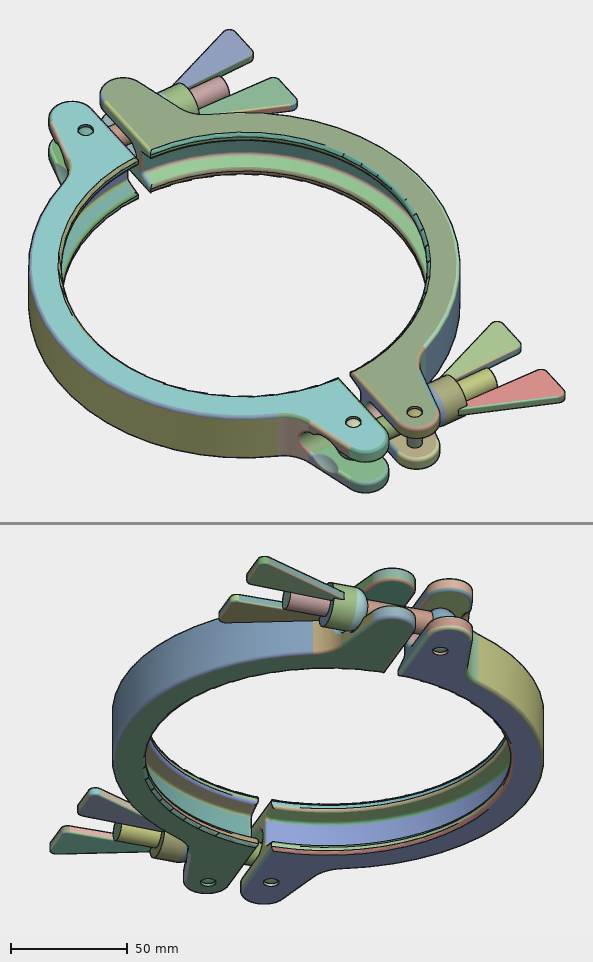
import cadquery as cq
import math

LENGTH = 263.8

HEIGHT = 25.3
RING_RADIUS = 185.0 / 2
BORE_RADIUS = 78.4
GAP = 6.0
GAP_FACE = GAP / 2
EDGE_FILLET = 1.45

GROOVE_RADIUS = 85.8
GROOVE_MOUTH = 8.5
GROOVE_TAPER = 15.0
GROOVE_FILLET = 1.3
GROOVE_OVERCUT = 2.6

EAR_RADIUS = 10.0
EAR_X = 115.0
EAR_Y = GAP_FACE + EAR_RADIUS
EAR_SLOPE = 15.0
BLEND_RADIUS = 16.0
SLOT_WIDTH = 12.1
SLOT_HALF = SLOT_WIDTH / 2
SLOT_END = 90.2

BOLT_X = 105.0
BOLT_RADIUS = 5.3
BOLT_TIP = 57.5
PIVOT_Y = -12.7
BALL_RADIUS = 15.0 / 2
NUT_RADIUS = 19.3 / 2
NUT_TOP = 39.3
NUT_SHOULDER = 28.8
NUT_ROUND = 6.9
SEAT_RADIUS = 10.3
SEAT_FILLET = 0.5

WING_TOP = 79.5
WING_THICKNESS = 4.0
WING_REACH = LENGTH / 2 - BOLT_X
WING_OUTER_ANGLE = 23.0
WING_INNER_TOP = 7.7
WING_INNER_BOTTOM = 6.5
WING_ROOT = 31.7
WING_CORNER = 3.2
WING_FILLET = 0.65

PIN_RADIUS = 6.5 / 2
PIN_DOME = 1.0
PIN_RECESS = 0.3
KEEPER_X = 114.2
KEEPER_Y = 12.7

TOLERANCE = 0.03


def half_outline():
    """Outline of the half on the +Y side, with both ears."""
    slope = math.radians(EAR_SLOPE)
    normal = (math.sin(slope), math.cos(slope))
    along = (math.cos(slope), -math.sin(slope))

    slope_offset = EAR_X * normal[0] + EAR_Y * normal[1] + EAR_RADIUS
    blend_offset = slope_offset + BLEND_RADIUS
    blend_along = math.sqrt((RING_RADIUS + BLEND_RADIUS) ** 2 - blend_offset**2)
    blend = [blend_offset * n + blend_along * a for n, a in zip(normal, along)]
    toward_ring = math.atan2(-blend[1], -blend[0])
    toward_ear = math.atan2(-normal[1], -normal[0])
    middle = (toward_ring + toward_ear) / 2

    def on_blend(angle):
        return (blend[0] + BLEND_RADIUS * math.cos(angle), blend[1] + BLEND_RADIUS * math.sin(angle))

    tip_end = (EAR_X + EAR_RADIUS * normal[0], EAR_Y + EAR_RADIUS * normal[1])
    blend_start = on_blend(toward_ear)
    blend_middle = on_blend(middle)
    blend_end = on_blend(toward_ring)
    tip = (EAR_X + EAR_RADIUS, EAR_Y)
    bore_corner = (math.sqrt(BORE_RADIUS**2 - GAP_FACE**2), GAP_FACE)

    def mirrored(point):
        return (-point[0], point[1])

    return (
        cq.Workplane("XY", origin=(0, 0, -HEIGHT / 2))
        .moveTo(*bore_corner)
        .lineTo(EAR_X, GAP_FACE)
        .threePointArc(tip, tip_end)
        .lineTo(*blend_start)
        .threePointArc(blend_middle, blend_end)
        .threePointArc((0, RING_RADIUS), mirrored(blend_end))
        .threePointArc(mirrored(blend_middle), mirrored(blend_start))
        .lineTo(*mirrored(tip_end))
        .threePointArc(mirrored(tip), (-EAR_X, GAP_FACE))
        .lineTo(*mirrored(bore_corner))
        .threePointArc((0, BORE_RADIUS), bore_corner)
        .close()
    )


def groove_cutter():
    """Ring that cuts the tapered groove into the bore."""
    start = BORE_RADIUS - GROOVE_OVERCUT
    drop = math.tan(math.radians(GROOVE_TAPER))
    mouth = GROOVE_MOUTH + drop * GROOVE_OVERCUT
    floor = GROOVE_MOUTH - drop * (GROOVE_RADIUS - BORE_RADIUS)
    return (
        cq.Workplane("XZ")
        .polyline([(start, -mouth), (GROOVE_RADIUS, -floor), (GROOVE_RADIUS, floor), (start, mouth)])
        .close()
        .revolve(360, (0, 0, 0), (0, 1, 0))
        .edges(cq.selectors.RadiusNthSelector(-1))
        .fillet(GROOVE_FILLET)
    )


def slot_cutter(side):
    """Slot through an ear along Y, round at its inner end and open at the tip."""
    round_x = side * (SLOT_END + SLOT_HALF)
    open_x = side * (EAR_X + 2 * EAR_RADIUS)
    return (
        cq.Workplane("XZ")
        .moveTo(open_x, -SLOT_HALF)
        .lineTo(round_x, -SLOT_HALF)
        .threePointArc((side * SLOT_END, 0), (round_x, SLOT_HALF))
        .lineTo(open_x, SLOT_HALF)
        .close()
        .extrude(-RING_RADIUS)
    )


def rounded_collar(side, radius):
    """Collar with a rounded end on the bolt axis: the body of a nut, or the room for its seat."""
    bottom = NUT_SHOULDER - NUT_ROUND
    round_x = radius - NUT_ROUND
    corner = NUT_ROUND * math.sqrt(0.5)
    return (
        cq.Workplane("XY", origin=(side * BOLT_X, 0, 0))
        .moveTo(0, bottom)
        .lineTo(round_x, bottom)
        .threePointArc((round_x + corner, NUT_SHOULDER - corner), (radius, NUT_SHOULDER))
        .lineTo(radius, NUT_TOP)
        .lineTo(0, NUT_TOP)
        .close()
        .revolve(360, (0, 0, 0), (0, 1, 0))
    )


def is_rounded(edge):
    """True for the edges of the gap faces, rims, lips and slot openings of a half."""
    box = edge.BoundingBox()
    straight_up = box.xlen < TOLERANCE and box.ylen < TOLERANCE
    along_slot = box.xlen < TOLERANCE and box.zlen < TOLERANCE
    groove_floor = box.xmin < 0 < box.xmax and abs(edge.Center().z) < GROOVE_MOUTH - TOLERANCE
    return not (straight_up or along_slot or groove_floor)


def clamp_half():
    """Half ring on the +Y side with its slots and nut seats."""
    half = half_outline().extrude(HEIGHT).cut(groove_cutter())
    for side in (-1, 1):
        half = half.cut(slot_cutter(side))
    half = half.edges().filter(is_rounded).fillet(EDGE_FILLET)
    for side in (-1, 1):
        half = half.cut(rounded_collar(side, SEAT_RADIUS))
    return half.faces("%REVOLUTION").edges().fillet(SEAT_FILLET)


def wing(side, hand):
    """One wing of a nut, toward -X or +X (hand) of the bolt axis."""
    lean = math.radians(WING_OUTER_ANGLE)
    run = math.tan(lean)
    corner_y = WING_TOP - WING_CORNER
    touch_x = WING_REACH - WING_CORNER * (1 - math.cos(lean))
    touch_y = corner_y - WING_CORNER * math.sin(lean)
    top_x = touch_x + run * (WING_TOP - touch_y)
    root_x = touch_x - run * (touch_y - WING_ROOT)
    axis = side * BOLT_X
    outline = [
        (WING_INNER_TOP, WING_TOP),
        (top_x, WING_TOP),
        (root_x, WING_ROOT),
        (WING_INNER_BOTTOM, WING_ROOT),
        (WING_INNER_BOTTOM, NUT_TOP),
    ]
    return (
        cq.Workplane("XY", origin=(0, 0, -WING_THICKNESS / 2))
        .polyline([(axis + hand * x, y) for x, y in outline])
        .close()
        .extrude(WING_THICKNESS)
        .edges("|Z and >Y")
        .fillet(WING_CORNER)
        .faces("|Z")
        .edges()
        .fillet(WING_FILLET)
    )


def swing_bolt(side):
    """Bolt with its pivot ball and wing nut."""
    bolt = (
        cq.Workplane("XZ", origin=(side * BOLT_X, PIVOT_Y, 0))
        .circle(BOLT_RADIUS)
        .extrude(PIVOT_Y - BOLT_TIP)
    )
    ball = cq.Workplane("XY", origin=(side * BOLT_X, PIVOT_Y, 0)).sphere(BALL_RADIUS)
    bolt = bolt.union(ball).union(rounded_collar(side, NUT_RADIUS))
    for hand in (-1, 1):
        bolt = bolt.union(wing(side, hand))
    return bolt


def pin_hole(x, y):
    """Hole through both prongs of an ear."""
    return cq.Workplane("XY", origin=(x, y, -HEIGHT / 2)).circle(PIN_RADIUS).extrude(HEIGHT)


def cross_pin(x, y):
    """Pin along Z whose domed ends stay within the height of the ear."""
    top = HEIGHT / 2 - PIN_RECESS
    base = top - PIN_DOME
    dome_radius = (PIN_RADIUS**2 + PIN_DOME**2) / (2 * PIN_DOME)
    dome_center = top - dome_radius
    reach = PIN_RADIUS / 2
    rise = dome_center + math.sqrt(dome_radius**2 - reach**2)
    return (
        cq.Workplane("XZ", origin=(x, y, 0))
        .moveTo(0, -top)
        .threePointArc((reach, -rise), (PIN_RADIUS, -base))
        .lineTo(PIN_RADIUS, base)
        .threePointArc((reach, rise), (0, top))
        .close()
        .revolve(360, (0, 0, 0), (0, 1, 0))
    )


def nut_side_half():
    """Half on the +Y side, with the keeper pin in its right ear."""
    return clamp_half().cut(pin_hole(KEEPER_X, KEEPER_Y)).union(cross_pin(KEEPER_X, KEEPER_Y))


def pivot_side_half():
    """Half on the -Y side, carrying both swing bolts on their pivot pins."""
    half = clamp_half().mirror("XZ")
    for side in (-1, 1):
        half = half.cut(pin_hole(side * BOLT_X, PIVOT_Y))
        half = half.union(cross_pin(side * BOLT_X, PIVOT_Y))
        half = half.union(swing_bolt(side))
    return half


nut_half = nut_side_half()
pivot_half = pivot_side_half()
result = cq.Compound.makeCompound([nut_half.solids().val(), pivot_half.solids().val()])